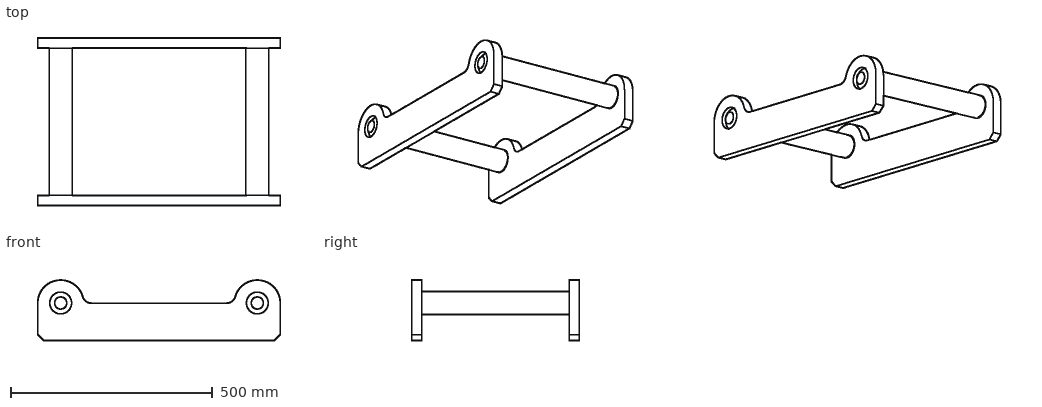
import cadquery as cq
import math

length = 601.5
width = 415.5
height = 150.5

plate_thickness = 25.0
lug_radius = 57.0
corner_chamfer = 15.0
neck_fillet = 21.5

shaft_radius = 29.0
journal_radius = 27.0
journal_chamfer = 12.0

axis_x = length / 2 - lug_radius
axis_z = height - lug_radius
inner_width = width - 2 * plate_thickness


def arc_point(center, radius, angle):
    """Point on a circle in the XZ plane, at an angle in radians from +X."""
    return (center[0] + radius * math.cos(angle), center[1] + radius * math.sin(angle))


def make_half_plate():
    """Left half of a side plate without pin holes, with its outer face at Y = 0."""
    left = -length / 2
    lug_center = (-axis_x, axis_z)

    blend_angle = math.asin(neck_fillet / (lug_radius + neck_fillet))
    fillet_center = arc_point(lug_center, lug_radius + neck_fillet, blend_angle)
    blend_point = arc_point(lug_center, lug_radius, blend_angle)
    fillet_start = blend_angle + math.pi
    fillet_end = 3 * math.pi / 2
    fillet_middle = (fillet_start + fillet_end) / 2

    return (
        cq.Workplane("XZ")
        .moveTo(0, 0)
        .lineTo(left + corner_chamfer, 0)
        .lineTo(left, corner_chamfer)
        .lineTo(left, axis_z)
        .threePointArc(arc_point(lug_center, lug_radius, math.pi / 2), blend_point)
        .threePointArc(
            arc_point(fillet_center, neck_fillet, fillet_middle),
            arc_point(fillet_center, neck_fillet, fillet_end),
        )
        .lineTo(0, axis_z)
        .close()
        .extrude(-plate_thickness)
    )


def make_side_plate(outer_y):
    """Symmetric side plate with two through holes for the pin journals."""
    half = make_half_plate()
    plate = half.union(half.mirror("YZ")).clean()
    holes = (
        cq.Workplane("XZ")
        .pushPoints([(-axis_x, axis_z), (axis_x, axis_z)])
        .circle(journal_radius)
        .extrude(-plate_thickness)
    )
    return plate.cut(holes).translate((0, outer_y, 0))


def make_pin(x):
    """Stepped pin along Y, its end faces flush with the outer plate faces."""
    journals = (
        cq.Workplane("XZ", origin=(0, -width / 2, 0))
        .circle(journal_radius)
        .extrude(-width)
        .faces("<Y or >Y")
        .chamfer(journal_chamfer)
    )
    shaft = cq.Workplane("XZ", origin=(0, -inner_width / 2, 0)).circle(shaft_radius).extrude(-inner_width)
    return journals.union(shaft).translate((x, 0, axis_z))


side_plates = [make_side_plate(y) for y in (-width / 2, width / 2 - plate_thickness)]
pins = [make_pin(x) for x in (-axis_x, axis_x)]

result = cq.Compound.makeCompound([body.val() for body in side_plates + pins])